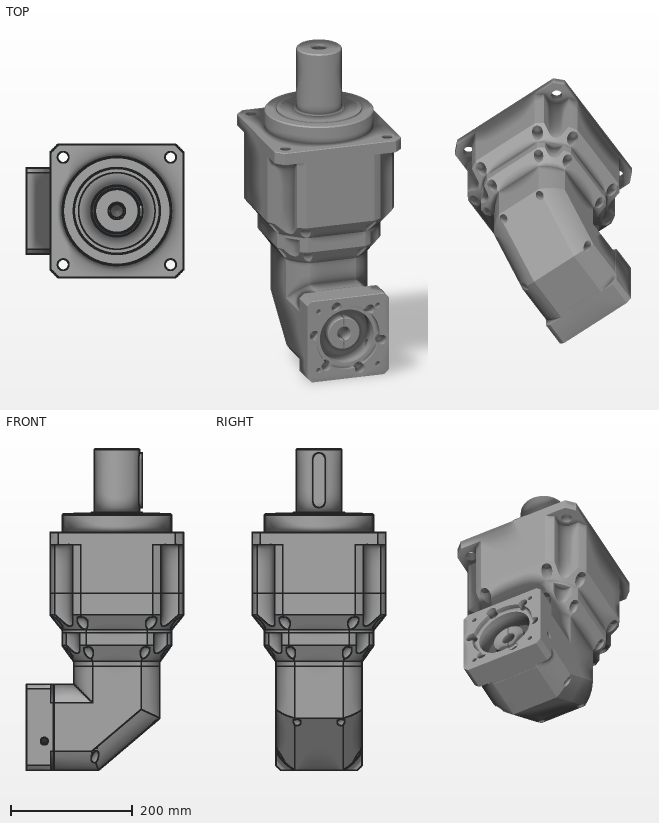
import cadquery as cq
import math


SHAFT_TOP = 458.4
FLANGE_TOP = 320.9
FLANGE_THICKNESS = 20.5
FLANGE_BOTTOM = FLANGE_TOP - FLANGE_THICKNESS
PILOT_HEIGHT = 30.0
PILOT_TOP = FLANGE_TOP + PILOT_HEIGHT
STAGE_JOINT_TOP = 220.5
STAGE1_TAPER_TOP = 185.0
STAGE1_TAPER_BOTTOM = 160.0
STAGE_JOINT_BOTTOM = 155.5
STAGE2_TAPER_TOP = 134.5
STAGE2_TAPER_BOTTOM = 108.2
ELBOW_TOP = 100.5

DRILL_POINT_ANGLE = 118.0

STAGE1_WIDTH = 220.0
STAGE1_ROUND = 125.0
STAGE2_WIDTH = 180.0
STAGE2_ROUND = 103.0
ELBOW_WIDTH = 142.0
ELBOW_ROUND = 81.5

NOTCH_RADIUS = 14.4
STAGE1_NOTCH_CENTRE = 86.9
STAGE2_NOTCH_CENTRE = 75.5
RECESS_BEARINGS = [30 + 90 * i for i in range(4)] + [60 + 90 * i for i in range(4)]
STAGE1_RECESS_DIAMETER = 18.0
STAGE1_RECESS_CIRCLE_RADIUS = 113.0
STAGE2_RECESS_DIAMETER = 15.5
STAGE2_RECESS_CIRCLE_RADIUS = 93.0
RECESS_OVERRUN = 4.0

FLANGE_CORNER_CHAMFER = 13.5
FLANGE_EDGE_CHAMFER = 1.0
PILOT_RADIUS = 90.0
PILOT_CHAMFER = 2.0
MOUNT_HOLE_DIAMETER = 18.0
MOUNT_HOLE_CIRCLE = 250.0

COVER_RADIUS = 70.0
COVER_HEIGHT = 10.0
COVER_PROUD = 1.5
COVER_SEAT_CHAMFER = 1.5
SEAL_RADIUS = 63.0
SEAL_DROP = 0.5

SHAFT_RADIUS = 37.5
SHAFT_CHAMFER = 2.0
SHAFT_BOTTOM = FLANGE_BOTTOM
COLLAR_RADIUS = 42.5
COLLAR_PROUD = 3.0
COLLAR_CHAMFER = 1.5
CENTRE_HOLE_RADIUS = 11.0
CENTRE_HOLE_DEPTH = 50.0
CENTRE_SINK_RADIUS = 14.0
KEY_WIDTH = 20.0
KEY_LENGTH = 90.0
KEY_HEIGHT = 12.0
KEY_PROUD = 4.5
KEY_END_GAP = 7.0
KEY_TOP = SHAFT_TOP - KEY_END_GAP

SLOPE_ANGLE = 40.3
SLOPE_DISTANCE = 34.6
ELBOW_END = -103.0
ELBOW_BOLT_CIRCLE_RADIUS = 72.5
ELBOW_RECESS_DIAMETER = 12.5
LOWER_RECESS_BEARING = 120.0
UPPER_RECESS_BEARING = 30.0
LOWER_RECESS_CEILING = -35.0
UPPER_RECESS_CEILING = 35.0

ADAPTER_FRONT = -149.0
ADAPTER_BACK = -108.5
ADAPTER_CHAMFER = 8.0
ADAPTER_TOP_CHAMFER = 1.0
GROOVE_WIDTH = 1.6
GROOVE_DEPTH = 0.6
MOTOR_PILOT_RADIUS = 55.0
MOTOR_PILOT_DEPTH = 8.0
MOTOR_BORE_RADIUS = 46.5
MOTOR_BORE_FLOOR = ADAPTER_BACK
SCREW_COUNT = 6
SCREW_CIRCLE_RADIUS = 59.0
SCREW_FIRST_BEARING = 10.0
SCREW_BORE_DIAMETER = 17.0
SCREW_BORE_DEPTH = 17.0
SCREW_HOLE_DIAMETER = 10.5
SCREW_HOLE_DEPTH = 28.0
MOTOR_HOLE_OFFSET = 51.3
MOTOR_HOLE_DIAMETER = 8.5
MOTOR_HOLE_DEPTH = 20.0
ACCESS_HOLE_X = -119.4
ACCESS_HOLE_Z = -23.1
ACCESS_HOLE_DIAMETER = 11.0
ACCESS_HOLE_CHAMFER = 0.7

HUB_RADIUS = 27.5
HUB_FRONT = -127.5
HUB_LENGTH = 50.0
HUB_CHAMFER = 1.2
HUB_BORE_RADIUS = 11.0
HUB_SLIT_WIDTH = 2.0
HUB_SLIT_DEPTH = 30.0


def cylinder(radius, bottom, top):
    """Upright cylinder on the output axis."""
    return cq.Workplane("XY").workplane(offset=bottom).circle(radius).extrude(top - bottom)


def rounded_prism(width, round_radius, bottom, top):
    """Upright square prism whose corners are trimmed to a circle."""
    square = cq.Workplane("XY").workplane(offset=bottom).rect(width, width).extrude(top - bottom)
    return square.intersect(cylinder(round_radius, bottom, top))


def rounded_taper(low_width, low_round, high_width, high_round, bottom, top):
    """Square frustum whose corners are trimmed to a cone."""
    height = top - bottom
    base = cq.Workplane("XY").workplane(offset=bottom)
    frustum = base.rect(low_width, low_width).workplane(offset=height).rect(high_width, high_width).loft()
    cone = base.circle(low_round).workplane(offset=height).circle(high_round).loft()
    return frustum.intersect(cone)


def corner_notches(centre, outer, bottom, top):
    """Four corner cutters with one rounded inner edge each."""
    inner = centre - NOTCH_RADIUS
    side = outer - inner
    middle = inner + side / 2
    block = cq.Workplane("XY").workplane(offset=bottom).center(middle, middle)
    block = block.rect(side, side).extrude(top - bottom)
    block = block.edges("|Z and <X and <Y").fillet(NOTCH_RADIUS)
    notches = block
    for turn in (90, 180, 270):
        notches = notches.union(block.rotate((0, 0, 0), (0, 0, 1), turn))
    return notches


def polar_point(radius, bearing):
    angle = math.radians(bearing)
    return (radius * math.cos(angle), radius * math.sin(angle))


def bolt_recesses(diameter, circle_radius, bottom, top):
    """Upright pockets for the bolt heads under a tapered shoulder."""
    points = [polar_point(circle_radius, bearing) for bearing in RECESS_BEARINGS]
    recess = cq.Workplane("XY").workplane(offset=bottom).pushPoints(points)
    return recess.circle(diameter / 2).extrude(top - bottom)


def drill(radius, depth):
    """Drill standing for a blind hole: it enters at z = 0 and points along +Z."""
    tip = radius / math.tan(math.radians(DRILL_POINT_ANGLE / 2))
    outline = cq.Workplane("XZ").polyline([(0, 0), (radius, 0), (radius, depth), (0, depth + tip)])
    return outline.close().revolve(360, (0, 0, 0), (0, 1, 0))


def along_input(upright):
    """Turn a shape built along +Z so that it runs along -X; its +X side then faces +Z."""
    return upright.rotate((0, 0, 0), (0, 1, 0), -90)


def make_key():
    inner_face = SHAFT_RADIUS + KEY_PROUD - KEY_HEIGHT
    key = cq.Workplane("YZ").workplane(offset=inner_face).center(0, KEY_TOP - KEY_LENGTH / 2)
    return key.slot2D(KEY_LENGTH, KEY_WIDTH, 90).extrude(KEY_HEIGHT)


def make_shaft_blank():
    """Shank and collar, before the centre hole and the keyway."""
    shank = cylinder(SHAFT_RADIUS, SHAFT_BOTTOM, SHAFT_TOP).faces(">Z").chamfer(SHAFT_CHAMFER)
    collar = cylinder(COLLAR_RADIUS, SHAFT_BOTTOM, PILOT_TOP + COLLAR_PROUD)
    return shank.union(collar.faces(">Z").chamfer(COLLAR_CHAMFER))


def make_shaft():
    hole = drill(CENTRE_HOLE_RADIUS, CENTRE_HOLE_DEPTH).mirror("XY").translate((0, 0, SHAFT_TOP))
    sink_depth = CENTRE_SINK_RADIUS - CENTRE_HOLE_RADIUS
    sink = cq.Workplane("XY").workplane(offset=SHAFT_TOP).circle(CENTRE_SINK_RADIUS)
    sink = sink.workplane(offset=-sink_depth).circle(CENTRE_HOLE_RADIUS).loft()
    return make_shaft_blank().cut(hole).cut(sink).cut(make_key())


def make_cover():
    cover_top = PILOT_TOP + COVER_PROUD
    cover = cylinder(COVER_RADIUS, PILOT_TOP - COVER_HEIGHT, cover_top)
    cover = cover.cut(cylinder(SEAL_RADIUS, cover_top - SEAL_DROP, cover_top))
    return cover.cut(make_shaft_blank())


def make_stage1_body():
    body = rounded_prism(STAGE1_WIDTH, STAGE1_ROUND, STAGE1_TAPER_TOP, FLANGE_BOTTOM)
    taper = rounded_taper(STAGE2_WIDTH, STAGE2_ROUND, STAGE1_WIDTH, STAGE1_ROUND,
                          STAGE1_TAPER_BOTTOM, STAGE1_TAPER_TOP)
    body = body.union(taper)
    body = body.cut(corner_notches(STAGE1_NOTCH_CENTRE, STAGE1_WIDTH, STAGE1_TAPER_BOTTOM, FLANGE_BOTTOM))
    return body.cut(bolt_recesses(STAGE1_RECESS_DIAMETER, STAGE1_RECESS_CIRCLE_RADIUS,
                                  STAGE1_TAPER_BOTTOM, STAGE1_TAPER_TOP + RECESS_OVERRUN))


def joint_slab(bottom, top):
    """Block that picks one height band out of the first-stage body."""
    slab = cq.Workplane("XY").workplane(offset=bottom)
    return slab.rect(STAGE1_WIDTH, STAGE1_WIDTH).extrude(top - bottom)


def make_output_housing(shaft_blank):
    flange = cq.Workplane("XY").workplane(offset=FLANGE_BOTTOM).rect(STAGE1_WIDTH, STAGE1_WIDTH)
    flange = flange.extrude(FLANGE_THICKNESS).edges("|Z").chamfer(FLANGE_CORNER_CHAMFER)
    flange = flange.faces(">Z").chamfer(FLANGE_EDGE_CHAMFER)
    housing = make_stage1_body().intersect(joint_slab(STAGE_JOINT_TOP, FLANGE_BOTTOM)).union(flange)
    housing = housing.union(cylinder(PILOT_RADIUS, FLANGE_TOP, PILOT_TOP).faces(">Z").chamfer(PILOT_CHAMFER))

    mount_points = [polar_point(MOUNT_HOLE_CIRCLE / 2, 45 + 90 * i) for i in range(4)]
    mount_holes = cq.Workplane("XY").workplane(offset=FLANGE_BOTTOM).pushPoints(mount_points)
    housing = housing.cut(mount_holes.circle(MOUNT_HOLE_DIAMETER / 2).extrude(FLANGE_THICKNESS))

    housing = housing.cut(cylinder(COVER_RADIUS, PILOT_TOP - COVER_HEIGHT, PILOT_TOP))
    seat_rim = cq.Workplane("XY").workplane(offset=PILOT_TOP).circle(COVER_RADIUS + COVER_SEAT_CHAMFER)
    seat_rim = seat_rim.workplane(offset=-COVER_SEAT_CHAMFER).circle(COVER_RADIUS).loft()
    return housing.cut(seat_rim).cut(shaft_blank)


def make_stage1_housing():
    housing = make_stage1_body().intersect(joint_slab(STAGE1_TAPER_BOTTOM, STAGE_JOINT_TOP))
    rim = rounded_prism(STAGE2_WIDTH, STAGE2_ROUND, STAGE_JOINT_BOTTOM, STAGE1_TAPER_BOTTOM)
    return housing.union(rim)


def make_stage2_housing():
    housing = rounded_prism(STAGE2_WIDTH, STAGE2_ROUND, STAGE2_TAPER_TOP, STAGE_JOINT_BOTTOM)
    taper = rounded_taper(ELBOW_WIDTH, ELBOW_ROUND, STAGE2_WIDTH, STAGE2_ROUND,
                          STAGE2_TAPER_BOTTOM, STAGE2_TAPER_TOP)
    housing = housing.union(taper)
    housing = housing.cut(corner_notches(STAGE2_NOTCH_CENTRE, STAGE2_WIDTH,
                                         STAGE2_TAPER_BOTTOM, STAGE_JOINT_BOTTOM))
    housing = housing.cut(bolt_recesses(STAGE2_RECESS_DIAMETER, STAGE2_RECESS_CIRCLE_RADIUS,
                                        STAGE2_TAPER_BOTTOM, STAGE2_TAPER_TOP + RECESS_OVERRUN))
    return housing.union(rounded_prism(ELBOW_WIDTH, ELBOW_ROUND, ELBOW_TOP, STAGE2_TAPER_BOTTOM))


def elbow_arm(end):
    """Upright arm cut off along the 45 degree mitre plane z = -x."""
    half = ELBOW_WIDTH / 2
    prism = rounded_prism(ELBOW_WIDTH, ELBOW_ROUND, -half, end)
    side_outline = cq.Workplane("XZ").polyline([(-half, half), (half, -half), (half, end), (-half, end)])
    return prism.intersect(side_outline.close().extrude(half, both=True))


def slope_envelope():
    """Rounded-square bar along the sloping back, left open toward the inside of the elbow."""
    half = ELBOW_WIDTH / 2
    axis_distance = SLOPE_DISTANCE - half
    reach = 2 * ELBOW_WIDTH
    bar = cq.Workplane("XY").circle(ELBOW_ROUND).extrude(reach, both=True)
    filler = cq.Workplane("XY").center(-reach / 2, 0).rect(reach, 2 * ELBOW_ROUND).extrude(reach, both=True)
    limit = cq.Workplane("XY").center(half - reach, 0).rect(2 * reach, ELBOW_WIDTH).extrude(reach, both=True)
    bar = bar.union(filler).intersect(limit).translate((axis_distance, 0, 0))
    return bar.rotate((0, 0, 0), (0, 1, 0), 90 - SLOPE_ANGLE)


def elbow_recess(bearing, ceiling):
    """Bolt head pocket that opens downward."""
    floor = -ELBOW_WIDTH / 2
    x, y = polar_point(ELBOW_BOLT_CIRCLE_RADIUS, bearing)
    return cylinder(ELBOW_RECESS_DIAMETER / 2, floor, ceiling).translate((x, y, 0))


def make_elbow(hub_space):
    lying_arm = along_input(elbow_arm(-ELBOW_END).mirror("YZ"))
    elbow = elbow_arm(ELBOW_TOP).union(lying_arm).intersect(slope_envelope())
    for side in (-1, 1):
        elbow = elbow.cut(elbow_recess(side * LOWER_RECESS_BEARING, LOWER_RECESS_CEILING))
        elbow = elbow.cut(elbow_recess(side * UPPER_RECESS_BEARING, UPPER_RECESS_CEILING))
    return elbow.cut(hub_space)


def input_cutter(points, diameter, depth):
    """Round holes sunk into the front face of the adapter; points are (y, z)."""
    holes = cq.Workplane("YZ").workplane(offset=ADAPTER_FRONT).pushPoints(points)
    return holes.circle(diameter / 2).extrude(depth)


def drilled_holes(points, diameter, depth):
    """Blind holes with a drill point in the front face of the adapter; points are (y, z)."""
    tool = drill(diameter / 2, depth).rotate((0, 0, 0), (0, 1, 0), 90)
    holes = cq.Workplane("YZ")
    for y, z in points:
        holes = holes.add(tool.translate((ADAPTER_FRONT, y, z)))
    return holes.combine()


def make_adapter(hub_space):
    plate = cq.Workplane("YZ").workplane(offset=ADAPTER_FRONT).rect(ELBOW_WIDTH, ELBOW_WIDTH)
    plate = plate.extrude(ADAPTER_BACK - ADAPTER_FRONT).edges("|X").chamfer(ADAPTER_CHAMFER)
    plate = plate.faces(">Z").edges("<X").chamfer(ADAPTER_TOP_CHAMFER)
    neck_end = ELBOW_END - GROOVE_WIDTH
    neck = along_input(rounded_prism(ELBOW_WIDTH, ELBOW_ROUND, -neck_end, -ADAPTER_BACK))
    groove = along_input(rounded_prism(ELBOW_WIDTH - 2 * GROOVE_DEPTH, ELBOW_ROUND - GROOVE_DEPTH,
                                       -ELBOW_END, -neck_end))
    adapter = plate.union(neck).union(groove)

    centre = [(0, 0)]
    adapter = adapter.cut(input_cutter(centre, 2 * MOTOR_PILOT_RADIUS, MOTOR_PILOT_DEPTH))
    adapter = adapter.cut(input_cutter(centre, 2 * MOTOR_BORE_RADIUS, MOTOR_BORE_FLOOR - ADAPTER_FRONT))

    pitch = 360 / SCREW_COUNT
    screw_points = [polar_point(SCREW_CIRCLE_RADIUS, SCREW_FIRST_BEARING + i * pitch)
                    for i in range(SCREW_COUNT)]
    adapter = adapter.cut(input_cutter(screw_points, SCREW_BORE_DIAMETER, SCREW_BORE_DEPTH))
    adapter = adapter.cut(drilled_holes(screw_points, SCREW_HOLE_DIAMETER, SCREW_HOLE_DEPTH))

    offsets = (-MOTOR_HOLE_OFFSET, MOTOR_HOLE_OFFSET)
    motor_points = [(y, z) for y in offsets for z in offsets]
    adapter = adapter.cut(drilled_holes(motor_points, MOTOR_HOLE_DIAMETER, MOTOR_HOLE_DEPTH))

    side = ELBOW_WIDTH / 2
    access = cq.Workplane("XZ").workplane(offset=side).center(ACCESS_HOLE_X, ACCESS_HOLE_Z)
    access_radius = ACCESS_HOLE_DIAMETER / 2
    access_rim = access.circle(access_radius + ACCESS_HOLE_CHAMFER)
    access_rim = access_rim.workplane(offset=-ACCESS_HOLE_CHAMFER).circle(access_radius).loft()
    adapter = adapter.cut(access.circle(access_radius).extrude(-side)).cut(access_rim)
    return adapter.cut(hub_space)


def make_hub_space():
    return cq.Workplane("YZ").workplane(offset=HUB_FRONT).circle(HUB_RADIUS).extrude(HUB_LENGTH)


def make_hub(hub_space):
    front = cq.Workplane("YZ").workplane(offset=HUB_FRONT)
    hub = hub_space.cut(front.circle(HUB_BORE_RADIUS).extrude(HUB_LENGTH))
    hub = hub.faces("<X").chamfer(HUB_CHAMFER)
    slit = front.rect(HUB_SLIT_WIDTH, 2 * HUB_RADIUS).extrude(HUB_SLIT_DEPTH)
    return hub.cut(slit)


shaft_blank = make_shaft_blank()
hub_space = make_hub_space()

key = make_key()
shaft = make_shaft()
cover = make_cover()
output_housing = make_output_housing(shaft_blank)
stage1_housing = make_stage1_housing()
stage2_housing = make_stage2_housing()
elbow = make_elbow(hub_space)
adapter = make_adapter(hub_space)
hub = make_hub(hub_space)

result = cq.Compound.makeCompound([
    shaft.solids().val(),
    key.solids().val(),
    cover.solids().val(),
    output_housing.solids().val(),
    stage1_housing.solids().val(),
    stage2_housing.solids().val(),
    elbow.solids().val(),
    adapter.solids().val(),
    hub.solids().val(),
])